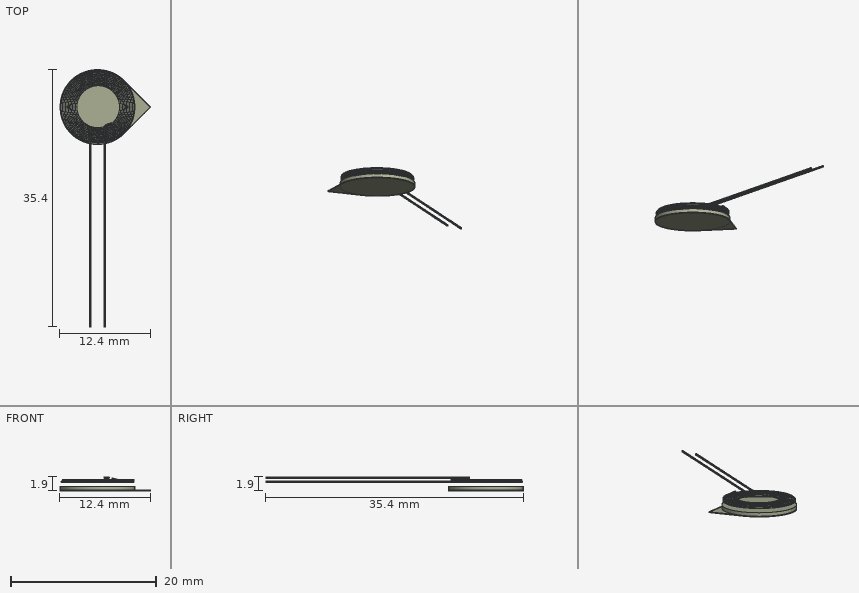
import cadquery as cq
import math

wire_diameter = 0.19
tinned_diameter = 0.2
winding_pitch = 0.198
outer_turn_radius = 4.9
winding_turns = 10

disc_radius = 10.3 / 2
sheet_thickness = 0.1
disc_thickness = 0.5

top_of_part = 1.9
lower_layer_z = 1.25
layer_spacing = 0.2
upper_layer_z = lower_layer_z + layer_spacing
free_lead_z = top_of_part - tinned_diameter / 2

overall_length = 35.35
lead_x = 1.0
lead_end_y = disc_radius - overall_length
tinned_length = 5.0
tinned_start_y = lead_end_y + tinned_length
lead_bend_radius = 0.42

lower_inner_end_angle = -180 - 360 * winding_turns

upper_start_angle = -49
upper_inner_end_angle = upper_start_angle + 360 * winding_turns
ramp_start_angle = -54
ramp_end_angle = -65
ramp_end_radius = 4.77
ramp_rise = 0.18

hook_radius = 2.8
hook_end_angle = -56


def polar(radius, angle, z, center_x=0):
    """Point at an angle in degrees on a circle centred on the X axis."""
    a = math.radians(angle)
    return cq.Vector(center_x + radius * math.cos(a), radius * math.sin(a), z)


def arc(radius, start_angle, end_angle, z, center_x=0):
    """Circular edge between two angles, running from the first to the second."""
    angles = (start_angle, (start_angle + end_angle) / 2, end_angle)
    return cq.Edge.makeThreePointArc(*(polar(radius, angle, z, center_x) for angle in angles))


def spiral(start_angle, end_angle, z):
    """Inward spiral of half circles that meet on the X axis, so that they stay tangent.

    The first arc runs about the Z axis from the start angle to the +X axis. From there, half
    circles about a shifted centre, each a step smaller, alternate with ones about the Z axis.
    The end angle counts all turns: above the start angle is counterclockwise, below is clockwise.
    """
    is_clockwise = end_angle < start_angle
    angle = -360 if is_clockwise else 0
    half_turn = -180 if is_clockwise else 180
    edges = [arc(outer_turn_radius, start_angle, angle, z)]
    half_turns = math.ceil((end_angle - angle) / half_turn)
    for half in range(half_turns):
        radius = outer_turn_radius - (half + 1) * winding_pitch / 2
        center_x = winding_pitch / 2 if half % 2 == 0 else 0
        arc_end = end_angle if half == half_turns - 1 else angle + half_turn
        edges.append(arc(radius, angle, arc_end, z, center_x))
        angle = arc_end
    return edges


def lead_path(side, turn_radius, z):
    """Straight lead and the bend that joins it to a turn; also gives the joining angle.

    Side is -1 or 1, the sign of the lead's X. The bend lies outside the turn and touches it.
    """
    x = side * lead_x
    bend_x = side * (lead_x + lead_bend_radius)
    bend_y = -math.sqrt((turn_radius + lead_bend_radius) ** 2 - bend_x**2)
    joining_angle = math.degrees(math.atan2(bend_y, bend_x))
    bend_start = cq.Vector(x, bend_y, z)
    lead = cq.Edge.makeLine(cq.Vector(x, tinned_start_y, z), bend_start)
    lead_direction = cq.Vector(0, 1, 0)
    bend = cq.Edge.makeTangentArc(bend_start, lead_direction, polar(turn_radius, joining_angle, z))
    return [lead, bend], joining_angle


def sweep_wire(edges):
    """Round wire along a chain of tangent edges."""
    path = cq.Wire.assembleEdges(edges)
    start_plane = cq.Plane(origin=path.startPoint(), normal=edges[0].tangentAt(0))
    return cq.Workplane(start_plane).circle(wire_diameter / 2).sweep(cq.Workplane(path))


def tinned_end(side, z):
    """Slightly thicker tip of a lead."""
    tip_plane = cq.Plane(origin=(side * lead_x, lead_end_y, z), normal=(0, 1, 0))
    return cq.Workplane(tip_plane).circle(tinned_diameter / 2).extrude(tinned_length)


def make_sheet():
    """Round sheet whose +X side runs out to a square corner along two tangents."""
    tangent_point = disc_radius / math.sqrt(2)
    corner_x = disc_radius * math.sqrt(2)
    return (
        cq.Workplane("XY")
        .moveTo(corner_x, 0)
        .lineTo(tangent_point, tangent_point)
        .threePointArc((-disc_radius, 0), (tangent_point, -tangent_point))
        .close()
        .extrude(sheet_thickness)
    )


def make_disc():
    return cq.Workplane("XY").workplane(offset=sheet_thickness).circle(disc_radius).extrude(disc_thickness)


def make_lower_coil():
    """Lower winding layer with its lead, which leaves the outermost turn."""
    lead, joining_angle = lead_path(-1, outer_turn_radius, lower_layer_z)
    winding = spiral(joining_angle, lower_inner_end_angle, lower_layer_z)
    return sweep_wire(lead + winding).union(tinned_end(-1, lower_layer_z)).solids()


def make_upper_coil():
    """Upper winding layer, whose outer end ramps up out of the layer."""
    ramp_start = polar(outer_turn_radius, ramp_start_angle, upper_layer_z)
    ramp_end = polar(ramp_end_radius, ramp_end_angle, upper_layer_z + ramp_rise)
    ramp_tangents = [polar(1, angle + 90, 0) for angle in (ramp_end_angle, ramp_start_angle)]
    ramp = cq.Edge.makeSpline([ramp_end, ramp_start], tangents=ramp_tangents)
    run_in = arc(outer_turn_radius, ramp_start_angle, upper_start_angle, upper_layer_z)
    winding = spiral(upper_start_angle, upper_inner_end_angle, upper_layer_z)
    return sweep_wire([ramp, run_in] + winding)


def make_free_lead():
    """Lead above the winding, with a hooked inner end."""
    lead, joining_angle = lead_path(1, hook_radius, free_lead_z)
    hook = arc(hook_radius, joining_angle, hook_end_angle, free_lead_z)
    return sweep_wire(lead + [hook]).union(tinned_end(1, free_lead_z)).solids()


sheet = make_sheet()
disc = make_disc()
lower_coil = make_lower_coil()
upper_coil = make_upper_coil()
free_lead = make_free_lead()

result = cq.Compound.makeCompound(
    [sheet.val(), disc.val(), lower_coil.val(), upper_coil.val(), free_lead.val()]
)